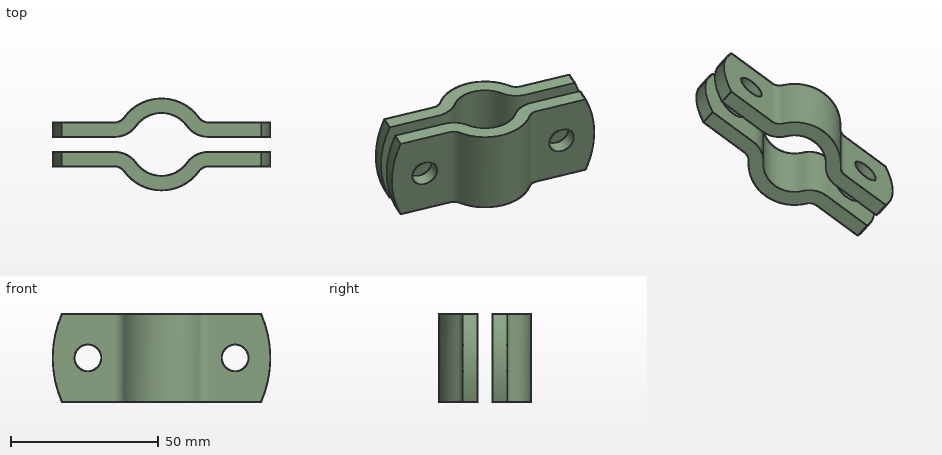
import cadquery as cq
import math

pipe_diameter = 21.3
thickness = 5.0
gap = 5.0
width = 30.0
overall_length = 74.0
hole_diameter = 9.0
hole_spacing = 50.0
outer_bend_radius = 4.0

pipe_radius = pipe_diameter / 2
saddle_radius = pipe_radius + thickness
inner_bend_radius = outer_bend_radius + thickness
flange_inner_y = gap / 2
flange_outer_y = flange_inner_y + thickness
half_length = overall_length / 2

bend_center_y = flange_outer_y + outer_bend_radius
bend_center_x = math.sqrt((saddle_radius + outer_bend_radius) ** 2 - bend_center_y**2)
saddle_end_angle = math.atan2(bend_center_y, bend_center_x)
bend_mid_angle = (saddle_end_angle + math.pi / 2) / 2


def saddle_end(radius):
    """Right-hand point where the saddle arc meets the bend."""
    return radius * math.cos(saddle_end_angle), radius * math.sin(saddle_end_angle)


def bend_middle(radius):
    """Middle point of the right-hand bend arc."""
    return (
        bend_center_x - radius * math.cos(bend_mid_angle),
        bend_center_y - radius * math.sin(bend_mid_angle),
    )


def mirrored(point):
    """Point reflected to the left-hand side."""
    return -point[0], point[1]


def bent_strip():
    """Strip of constant thickness with a round saddle between two flanges."""
    outer_end = saddle_end(saddle_radius)
    outer_bend = bend_middle(outer_bend_radius)
    inner_end = saddle_end(pipe_radius)
    inner_bend = bend_middle(inner_bend_radius)
    return (
        cq.Workplane("XY")
        .moveTo(-half_length, flange_outer_y)
        .lineTo(-bend_center_x, flange_outer_y)
        .threePointArc(mirrored(outer_bend), mirrored(outer_end))
        .threePointArc((0, saddle_radius), outer_end)
        .threePointArc(outer_bend, (bend_center_x, flange_outer_y))
        .lineTo(half_length, flange_outer_y)
        .lineTo(half_length, flange_inner_y)
        .lineTo(bend_center_x, flange_inner_y)
        .threePointArc(inner_bend, inner_end)
        .threePointArc((0, pipe_radius), mirrored(inner_end))
        .threePointArc(mirrored(inner_bend), (-bend_center_x, flange_inner_y))
        .lineTo(-half_length, flange_inner_y)
        .close()
        .extrude(width / 2, both=True)
    )


def along_y(sketch_plane):
    """Extrude the pending outline through the full depth of the clamp."""
    return sketch_plane.extrude(saddle_radius, both=True)


def clamp_half():
    """Clamp half on the +Y side, with rounded ends and bolt holes."""
    rounded_ends = along_y(cq.Workplane("XZ").circle(half_length))
    bolt_holes = along_y(
        cq.Workplane("XZ")
        .pushPoints([(-hole_spacing / 2, 0), (hole_spacing / 2, 0)])
        .circle(hole_diameter / 2)
    )
    return bent_strip().intersect(rounded_ends).cut(bolt_holes)


clamp_halves = []
for turn in (0, 180):
    half = clamp_half().rotate((0, 0, 0), (0, 0, 1), turn)
    clamp_halves.append(half.val())

result = cq.Compound.makeCompound(clamp_halves)